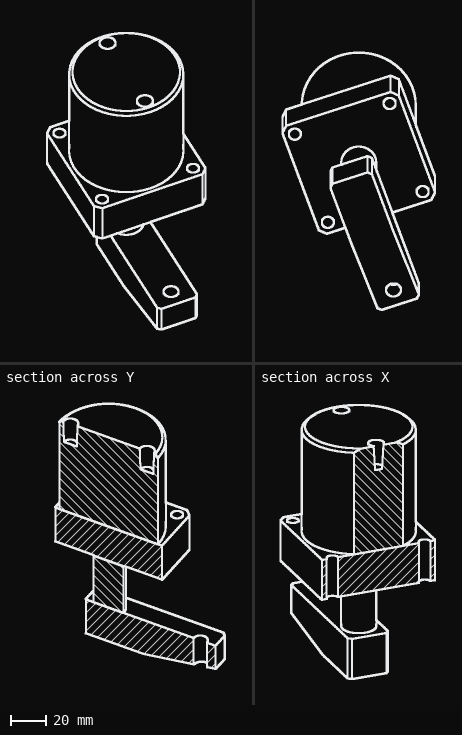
import cadquery as cq
import math


ARM_LENGTH = 85.1
ARM_WIDTH = 25.0
ARM_HEIGHT = 25.0
ARM_BACK_X = -15.0
ARM_CHAMFER = 2.0
ARM_HOLE_X = 60.0
ARM_HOLE_DIAMETER = 8.5
TAPER_START_X = 23.0
TAPER_ANGLE = 9.5

ROD_DIAMETER = 20.0
ROD_EXPOSED_LENGTH = 34.0

FLANGE_SIDE = 70.0
FLANGE_HEIGHT = 25.0
FLANGE_CHAMFER = 3.6
MOUNT_HOLE_SPACING = 57.0
MOUNT_HOLE_DIAMETER = 6.9

TOTAL_HEIGHT = 149.0
CYLINDER_DIAMETER = 65.0
CYLINDER_CHAMFER = 2.0
PORT_SPACING = 50.0
PORT_MOUTH_DIAMETER = 9.1
PORT_FLOOR_DIAMETER = 8.0
PORT_DEPTH = 14.9

FLANGE_BOTTOM_Z = ARM_HEIGHT + ROD_EXPOSED_LENGTH
FLANGE_TOP_Z = FLANGE_BOTTOM_Z + FLANGE_HEIGHT


def make_arm():
    """Bar whose underside slopes up toward a bolt hole near its free end."""
    tip_x = ARM_BACK_X + ARM_LENGTH
    tip_bottom_z = (tip_x - TAPER_START_X) * math.tan(math.radians(TAPER_ANGLE))
    side_profile = [
        (ARM_BACK_X, 0),
        (TAPER_START_X, 0),
        (tip_x, tip_bottom_z),
        (tip_x, ARM_HEIGHT),
        (ARM_BACK_X, ARM_HEIGHT),
    ]
    arm = cq.Workplane("XZ").polyline(side_profile).close().extrude(ARM_WIDTH / 2, both=True)
    arm = arm.edges("|Z").chamfer(ARM_CHAMFER)
    bolt_hole = (
        cq.Workplane("XY")
        .center(ARM_HOLE_X, 0)
        .circle(ARM_HOLE_DIAMETER / 2)
        .extrude(ARM_HEIGHT)
    )
    return arm.cut(bolt_hole)


def make_rod():
    """Plain round rod between the arm and the flange."""
    return (
        cq.Workplane("XY")
        .workplane(offset=ARM_HEIGHT)
        .circle(ROD_DIAMETER / 2)
        .extrude(ROD_EXPOSED_LENGTH)
    )


def make_flange():
    """Square plate with chamfered corners and a mounting hole at each corner."""
    return (
        cq.Workplane("XY")
        .workplane(offset=FLANGE_BOTTOM_Z)
        .rect(FLANGE_SIDE, FLANGE_SIDE)
        .extrude(FLANGE_HEIGHT)
        .edges("|Z")
        .chamfer(FLANGE_CHAMFER)
        .faces(">Z")
        .workplane()
        .rect(MOUNT_HOLE_SPACING, MOUNT_HOLE_SPACING, forConstruction=True)
        .vertices()
        .hole(MOUNT_HOLE_DIAMETER)
    )


def make_port():
    """Blind port cavity that tapers slightly from its mouth at Z = 0 down to its floor."""
    half_profile = [
        (0, 0),
        (PORT_MOUTH_DIAMETER / 2, 0),
        (PORT_FLOOR_DIAMETER / 2, -PORT_DEPTH),
        (0, -PORT_DEPTH),
    ]
    return cq.Workplane("XZ").polyline(half_profile).close().revolve(360, (0, 0), (0, 1))


def make_cylinder():
    """Round body with a chamfered top rim and two ports in its top face."""
    cylinder = (
        cq.Workplane("XY")
        .workplane(offset=FLANGE_TOP_Z)
        .circle(CYLINDER_DIAMETER / 2)
        .extrude(TOTAL_HEIGHT - FLANGE_TOP_Z)
        .faces(">Z")
        .edges()
        .chamfer(CYLINDER_CHAMFER)
    )
    for side in (-1, 1):
        port = make_port().translate((side * PORT_SPACING / 2, 0, TOTAL_HEIGHT))
        cylinder = cylinder.cut(port)
    return cylinder


arm = make_arm()
rod = make_rod()
flange = make_flange()
cylinder = make_cylinder()

result = cq.Compound.makeCompound([arm.val(), rod.val(), flange.val(), cylinder.val()])